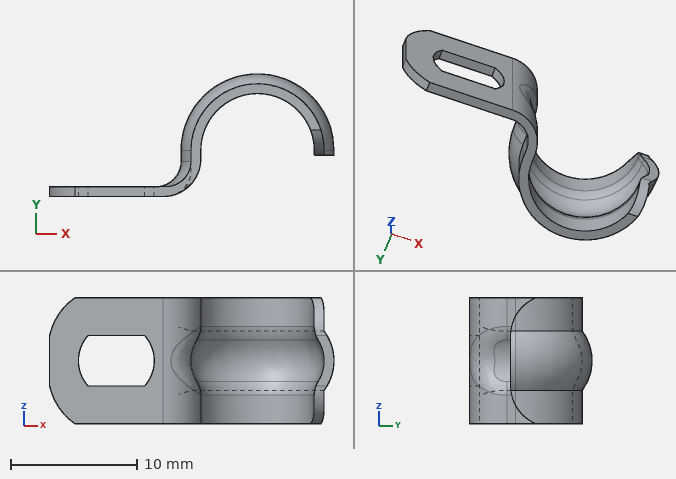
import cadquery as cq

length = 22.55
width = 10.0
thickness = 0.8
ring_inner = 4.49
ring_outer = ring_inner + thickness
ring_crest = ring_outer + thickness
ring_x = length - ring_crest
ring_y = 3.68
lip = 0.4
wall_front_x = ring_x - ring_inner
wall_back_x = ring_x - ring_outer
bend_back_radius = 2.0
bend_front_radius = 3.0

bead_outer = 3.9
bead_inner = bead_outer - thickness
bead_offset = ring_crest - bead_outer
bead_x = ring_x - bead_offset
bead_blend = 2.0

slot_x = 5.3
slot_diameter = 6.0
slot_height = 4.0

plate_corner_radius = 5.0
lip_corner_radius = 3.25
corner_depth = 2.0
end_flat = 4.0

half_width = width / 2
end_y = ring_y - lip


def extrude_width(outline):
    """Extrude a closed XY outline over the strip width, centred on Z = 0."""
    return outline.close().extrude(half_width, both=True)


def filled_strip():
    """Strip outline with the space inside the ring and bend still filled."""
    return extrude_width(
        cq.Workplane("XY")
        .lineTo(ring_x + ring_outer, 0)
        .lineTo(ring_x + ring_outer, ring_y)
        .threePointArc((ring_x, ring_y + ring_outer), (wall_back_x, ring_y))
        .lineTo(wall_back_x, thickness + bend_back_radius)
        .radiusArc((wall_back_x - bend_back_radius, thickness), bend_back_radius)
        .lineTo(0, thickness)
    )


def opening():
    """Space enclosed by the ring and the front of the bend."""
    return extrude_width(
        cq.Workplane("XY")
        .moveTo(wall_front_x - bend_front_radius, 0)
        .radiusArc((wall_front_x, bend_front_radius), -bend_front_radius)
        .lineTo(wall_front_x, ring_y)
        .threePointArc((ring_x, ring_y + ring_inner), (ring_x + ring_inner, ring_y))
        .lineTo(ring_x + ring_inner, 0)
    )


def bead_solid(radius):
    """Half-disc section swept around the ring and straight down both legs."""
    section_plane = cq.Workplane("XZ", origin=(ring_x, ring_y, 0))

    def section(side):
        return (
            section_plane.moveTo(side * bead_offset, -radius)
            .threePointArc((side * (bead_offset + radius), 0), (side * bead_offset, radius))
            .close()
        )

    arch = section(1).revolve(180, (0, 0, 0), (0, 1, 0))
    left_leg = section(-1).extrude(ring_y)
    right_leg = section(1).extrude(ring_y)
    return arch.union(left_leg).union(right_leg)


def bead_foot():
    """Concave flare joining the bead to the back of the plate."""
    foot_radius = bead_outer + bend_back_radius
    return (
        cq.Workplane("XY", origin=(bead_x, 0, 0))
        .lineTo(-foot_radius, 0)
        .lineTo(-foot_radius, thickness)
        .radiusArc((-bead_outer, thickness + bend_back_radius), -bend_back_radius)
        .lineTo(0, thickness + bend_back_radius)
        .close()
        .revolve(360, (0, 0, 0), (0, 1, 0))
        .intersect(cq.Workplane("XY").box(wall_front_x, ring_y, width, centered=(False, False, True)))
    )


def corner_cutters(plane, end, corner_radius, reach):
    """Outside of the two arcs that round off the strip end lying at the given place."""
    tools = cq.Workplane("XY")
    for side in (1, -1):
        tools = tools.add(
            plane.moveTo(end, side * end_flat / 2)
            .radiusArc((end + corner_depth, side * half_width), side * corner_radius)
            .lineTo(end + corner_depth, side * width)
            .lineTo(end - corner_depth, side * width)
            .lineTo(end - corner_depth, side * end_flat / 2)
            .close()
            .extrude(reach)
        )
    return tools.combine()


def cavity():
    """Hollow front of the clamp: the opening plus the bead, with a blended rim."""
    hollow = opening().union(bead_solid(bead_inner))
    leg_rims = hollow.edges("|Y").edges(cq.selectors.BoxSelector(
        (wall_back_x, 0, -bead_inner), (ring_x, ring_y, bead_inner)
    ))
    return leg_rims.fillet(bead_blend)


result = filled_strip().union(bead_solid(bead_outer)).union(bead_foot()).cut(cavity())
free_end = cq.Workplane("XY").box(length, end_y, 2 * width, centered=(False, False, True))
result = result.cut(free_end.translate((ring_x, 0, 0)))

plate_plane = cq.Workplane("XZ", origin=(0, thickness, 0))
result = result.cut(corner_cutters(plate_plane, 0, plate_corner_radius, thickness))
lip_plane = cq.Workplane("YZ", origin=(ring_x, 0, 0))
result = result.cut(corner_cutters(lip_plane, end_y, lip_corner_radius, length - ring_x))
slot = (
    plate_plane.center(slot_x, 0)
    .circle(slot_diameter / 2)
    .extrude(thickness)
    .intersect(cq.Workplane("XY").box(length, length, slot_height))
)
result = result.cut(slot)